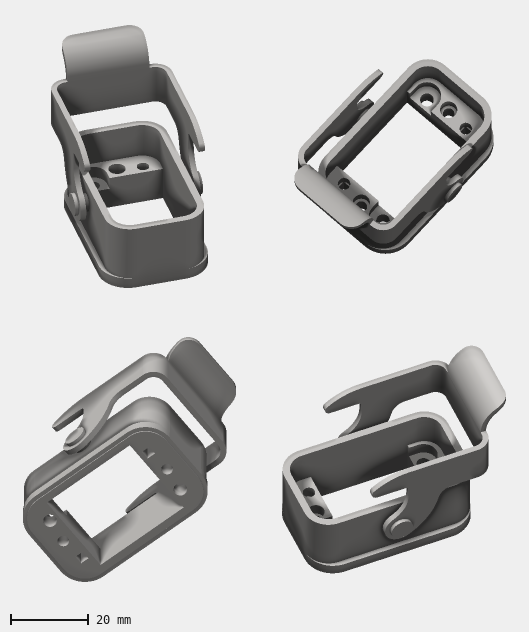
import cadquery as cq
import math


overall_length = 55.95
overall_width = 34.4

housing_length = 45.9
housing_width = 26.5
housing_top = 18.85
housing_corner_radius = 6.7
wall = 1.9

flange_width = 29.1
flange_top = 3.35
flange_corner_radius = 7.9

lip_height = 0.35
lip_inset = 1.1

ledge_top = 9.25
window_length = 27.15
recess_depth = 3.35
side_hole_x = 16.05
side_hole_y = 6.7
screw_hole_x = 16.95
screw_hole_diameter = 3.0
screw_head_diameter = 4.5
plain_hole_diameter = 3.5
bay_radius = 3.7
socket_diameter = 3.2
square_hole_side = 2.4

pin_z = 13.0
pin_diameter = 4.8
pin_head_diameter = 6.0
pin_head_thickness = 1.0
pin_tip_y = overall_width / 2

plate_thickness = 1.5
lever_width = 2 * (pin_tip_y - pin_head_thickness)
lever_bend_radius = 4.55
lever_top = 33.85
lever_bottom = 22.95
grip_width = 22.05
grip_outer_radius = 8.45
grip_corner_radius = 4.05
grip_tip_x = housing_length / 2 - overall_length
lever_back_x = grip_tip_x + grip_outer_radius - plate_thickness

eye_radius = 4.5
neck_x = -2.1
neck_curve_z = 24.15
notch_radius = 1.0
underside_radius = 3.9
hook_bottom = 28.0
hook_tip_radius = 1.5
hook_back_radius = 16.2


def rounded_block(length, width, radius, bottom, top):
    """Upright block with rounded vertical edges, centred on the Z axis."""
    block = cq.Workplane("XY").workplane(offset=bottom).rect(length, width).extrude(top - bottom)
    return block.edges("|Z").fillet(radius)


def upright_cylinder(x, y, diameter, bottom, top):
    cylinder = cq.Workplane("XY").workplane(offset=bottom).center(x, y).circle(diameter / 2)
    return cylinder.extrude(top - bottom)


def upright_box(x, y, length, width, bottom, top):
    box = cq.Workplane("XY").workplane(offset=bottom).center(x, y).rect(length, width)
    return box.extrude(top - bottom)


def pivot_cylinder(diameter, y_start, y_end):
    """Cylinder along +Y on the pivot axis."""
    plane = cq.Plane(origin=(0, y_start, pin_z), xDir=(1, 0, 0), normal=(0, 1, 0))
    return cq.Workplane(plane).circle(diameter / 2).extrude(y_end - y_start)


def make_ledge_cuts():
    """Holes and recesses of the ledge at the +X end."""
    floor = ledge_top - recess_depth
    cuts = upright_cylinder(screw_hole_x, 0, screw_hole_diameter, 0, ledge_top)
    cuts = cuts.union(upright_cylinder(screw_hole_x, 0, screw_head_diameter, floor, ledge_top))

    bay_mouth_x = window_length / 2
    bay_straight = side_hole_x - bay_mouth_x
    bay = upright_box(
        bay_mouth_x + bay_straight / 2, side_hole_y, bay_straight, 2 * bay_radius, floor, ledge_top
    )
    bay_end = upright_cylinder(side_hole_x, side_hole_y, 2 * bay_radius, floor, ledge_top)
    plain_hole = upright_cylinder(side_hole_x, side_hole_y, plain_hole_diameter, 0, ledge_top)
    cuts = cuts.union(bay).union(bay_end).union(plain_hole)

    socket = upright_cylinder(side_hole_x, -side_hole_y, socket_diameter, floor, ledge_top)
    square_hole = upright_box(
        side_hole_x, -side_hole_y, square_hole_side, square_hole_side, 0, ledge_top
    )
    return cuts.union(socket).union(square_hole)


def make_pin():
    """Headed pivot pin on the +Y side, rooted in the housing wall."""
    head_y = pin_tip_y - pin_head_thickness
    shank = pivot_cylinder(pin_diameter, housing_width / 2 - wall / 2, head_y)
    return shank.union(pivot_cylinder(pin_head_diameter, head_y, pin_tip_y))


def make_housing():
    body = rounded_block(
        housing_length, housing_width, housing_corner_radius, lip_height, housing_top
    )
    flange = rounded_block(
        housing_length, flange_width, flange_corner_radius, lip_height, flange_top
    )
    lip = rounded_block(
        housing_length - 2 * lip_inset,
        flange_width - 2 * lip_inset,
        flange_corner_radius - lip_inset,
        0,
        lip_height,
    )
    housing = body.union(flange).union(lip)

    cavity_width = housing_width - 2 * wall
    cavity = rounded_block(
        housing_length - 2 * wall,
        cavity_width,
        housing_corner_radius - wall,
        ledge_top,
        housing_top,
    )
    window = upright_box(0, 0, window_length, cavity_width, 0, ledge_top)
    housing = housing.cut(cavity).cut(window)

    ledge_cuts = make_ledge_cuts()
    pin = make_pin()
    for angle in (0, 180):
        housing = housing.cut(ledge_cuts.rotate((0, 0, 0), (0, 0, 1), angle))
        housing = housing.union(pin.rotate((0, 0, 0), (0, 0, 1), angle))
    return housing


def point_on_arc(centre, radius, angle):
    return (centre[0] + radius * math.cos(angle), centre[1] + radius * math.sin(angle))


def direction(start, end):
    return math.atan2(end[1] - start[1], end[0] - start[0])


def arm_profile():
    """Side outline of the lever in XZ: back band, hook and curved arm down to the pivot eye."""
    pivot = (0, pin_z)

    pivot_rise = neck_curve_z - pin_z
    inner_radius = (pivot_rise**2 + neck_x**2 - eye_radius**2) / (2 * (eye_radius - neck_x))
    outer_radius = inner_radius + 2 * eye_radius
    arm_centre = (neck_x + inner_radius, neck_curve_z)
    toward_pivot = direction(arm_centre, pivot) % math.tau
    eye_inner = point_on_arc(arm_centre, inner_radius, toward_pivot)
    eye_outer = point_on_arc(arm_centre, outer_radius, toward_pivot)
    eye_far = point_on_arc(pivot, eye_radius, toward_pivot + math.pi / 2)
    inner_middle = point_on_arc(arm_centre, inner_radius, (math.pi + toward_pivot) / 2)

    fillet_z = lever_bottom - underside_radius
    fillet_reach = outer_radius + underside_radius
    fillet_x = arm_centre[0] - math.sqrt(fillet_reach**2 - (neck_curve_z - fillet_z) ** 2)
    fillet_centre = (fillet_x, fillet_z)
    toward_arm = direction(fillet_centre, arm_centre)
    fillet_end = point_on_arc(fillet_centre, underside_radius, toward_arm)
    fillet_middle = point_on_arc(fillet_centre, underside_radius, (math.pi / 2 + toward_arm) / 2)
    toward_fillet = toward_arm + math.pi
    outer_middle = point_on_arc(arm_centre, outer_radius, (toward_fillet + toward_pivot) / 2)

    back_centre = (neck_x, lever_top - hook_back_radius)
    tip_z = hook_bottom + hook_tip_radius
    tip_rise = tip_z - back_centre[1]
    tip_x = neck_x + math.sqrt((hook_back_radius - hook_tip_radius) ** 2 - tip_rise**2)
    tip_centre = (tip_x, tip_z)
    toward_tip = direction(back_centre, tip_centre)
    back_end = point_on_arc(back_centre, hook_back_radius, toward_tip)
    back_middle = point_on_arc(back_centre, hook_back_radius, (math.pi / 2 + toward_tip) / 2)
    tip_middle = point_on_arc(tip_centre, hook_tip_radius, (toward_tip - math.pi / 2) / 2)

    notch_centre = (neck_x + notch_radius, hook_bottom - notch_radius)
    notch_middle = point_on_arc(notch_centre, notch_radius, 0.75 * math.pi)

    return (
        cq.Workplane("XZ")
        .moveTo(lever_back_x, lever_top)
        .lineTo(neck_x, lever_top)
        .threePointArc(back_middle, back_end)
        .threePointArc(tip_middle, (tip_x, hook_bottom))
        .lineTo(notch_centre[0], hook_bottom)
        .threePointArc(notch_middle, (neck_x, notch_centre[1]))
        .lineTo(neck_x, neck_curve_z)
        .threePointArc(inner_middle, eye_inner)
        .threePointArc(eye_far, eye_outer)
        .threePointArc(outer_middle, fillet_end)
        .threePointArc(fillet_middle, (fillet_x, lever_bottom))
        .lineTo(lever_back_x, lever_bottom)
        .close()
    )


def make_bent_band():
    """Profile extruded across the lever and hollowed out to a U-shaped bent plate."""
    block = arm_profile().extrude(lever_width / 2, both=True)
    block = block.edges("|Z and <X").fillet(lever_bend_radius)
    hollow_length = housing_length
    hollow = upright_box(
        lever_back_x + plate_thickness + hollow_length / 2,
        0,
        hollow_length,
        lever_width - 2 * plate_thickness,
        0,
        lever_top,
    )
    return block.cut(hollow.edges("|Z and <X").fillet(lever_bend_radius - plate_thickness))


def make_grip():
    """Quarter-round curl that rises from the back of the band, with rounded outer corners."""
    centre = (grip_tip_x, lever_top)
    inner_radius = grip_outer_radius - plate_thickness
    curl = (
        cq.Workplane("XZ")
        .moveTo(grip_tip_x, lever_top + inner_radius)
        .lineTo(grip_tip_x, lever_top + grip_outer_radius)
        .threePointArc(
            point_on_arc(centre, grip_outer_radius, math.pi / 4),
            (grip_tip_x + grip_outer_radius, lever_top),
        )
        .lineTo(grip_tip_x + inner_radius, lever_top)
        .threePointArc(
            point_on_arc(centre, inner_radius, math.pi / 4),
            (grip_tip_x, lever_top + inner_radius),
        )
        .close()
        .extrude(grip_width / 2, both=True)
    )
    plan_outline = upright_box(
        grip_tip_x + grip_outer_radius,
        0,
        2 * grip_outer_radius,
        grip_width,
        lever_top,
        lever_top + grip_outer_radius,
    )
    return curl.intersect(plan_outline.edges("|Z and <X").fillet(grip_corner_radius))


def make_lever():
    pin_holes = pivot_cylinder(pin_diameter, -pin_tip_y, pin_tip_y)
    return make_bent_band().cut(pin_holes).union(make_grip())


housing = make_housing()
lever = make_lever()
result = cq.Compound.makeCompound([housing.val(), lever.val()])